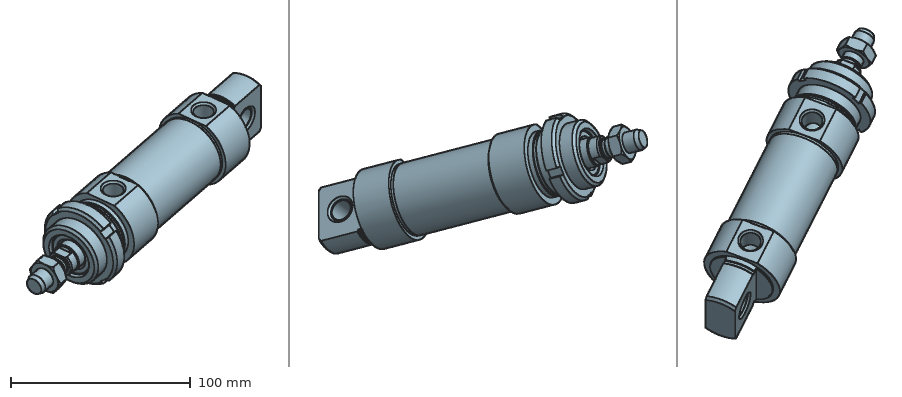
import cadquery as cq
import math

total_length = 202.5

cap_dia = 46.2
cap_length = 22.7
cap_flat_height = 21.0
front_cap_start = 63.0
front_cap_end = front_cap_start + cap_length
rear_cap_end = 172.3
rear_cap_start = rear_cap_end - cap_length
tube_dia = 41.7
tube_neck_dia = 41.5
tube_neck_length = 1.6

spigot_dia = 38.0
spigot_chamfer = 1.6
nose_start = 33.0
groove_dia = 36.0
groove_offset = 3.0
groove_length = 2.5
groove_chamfer = 0.6

recess_dia = 26.0
recess_mouth_dia = 27.5
recess_depth = 2.2
recess_corner_chamfer = 0.5
rod_countersink_dia = 19.6

eye_thickness = 18.0
eye_root_offset = 1.0
eye_hole_dia = 12.0
eye_countersink_dia = 16.0
eye_countersink_floor_dia = 13.4
eye_hole_from_end = 13.8

port_dia = 11.5
port_chamfer_dia = 14.0
port_depth = 14.2
port_from_tube = 10.7
drill_tip_angle = 118.0

rod_dia = 16.8
rod_rear = 101.2
shank_start = 24.0
shank_dia = 15.5
shank_end = 31.2
shank_chamfer = 0.5
shank_chamfer_length = 1.2
shoulder_height = (rod_dia - shank_dia) / 2
thread_dia = 12.0
thread_end = 21.0
undercut_dia = 10.7
undercut_chamfer = (thread_dia - undercut_dia) / 2
tip_dia = 10.0
tip_chamfer_length = 2.6
wrench_flat_width = 13.2
wrench_flat_end = 29.4

hex_nut_sides = 6
hex_nut_width = 18.6
hex_nut_start = 10.0
hex_nut_length = 7.0
hex_nut_chamfer_angle = 30.0

ring_nut_dia = 50.0
ring_nut_start = 42.7
ring_nut_length = 8.3
ring_nut_chamfer = 1.6
slot_count = 4
slot_width = 5.0
slot_floor_radius = 22.9


def turned(profile):
    """Solid of revolution about Y from (radius, y) points; the profile is closed along the axis."""
    points = [(0, profile[0][1]), *profile, (0, profile[-1][1])]
    return cq.Workplane("XY").polyline(points).close().revolve(360, (0, 0, 0), (0, 1, 0))


def disc(diameter, y_start, y_end):
    """Plain cylinder along Y."""
    return turned([(diameter / 2, y_start), (diameter / 2, y_end)])


def box_between(x_size, y_start, y_end, z_size):
    """Box centred on the axis in X and Z."""
    return cq.Workplane("XY").box(x_size, y_end - y_start, z_size).translate((0, (y_start + y_end) / 2, 0))


def make_cap(y_start, y_end):
    """End cap with a flat on top for the air port."""
    flat_limit = box_between(cap_dia, y_start, y_end, cap_dia).translate((0, 0, cap_flat_height - cap_dia / 2))
    return disc(cap_dia, y_start, y_end).intersect(flat_limit)


def make_tube():
    """Tube with a slightly smaller neck next to each cap."""
    neck_radius = tube_neck_dia / 2
    tube_radius = tube_dia / 2
    tube_start = front_cap_end + tube_neck_length
    tube_end = rear_cap_start - tube_neck_length
    return turned([
        (neck_radius, front_cap_end),
        (neck_radius, tube_start),
        (tube_radius, tube_start),
        (tube_radius, tube_end),
        (neck_radius, tube_end),
        (neck_radius, rear_cap_start),
    ])


def make_spigot(cap_face, end_face):
    """Grooved spigot from a cap face to its chamfered end face, in either direction along Y."""
    direction = math.copysign(1, end_face - cap_face)
    radius = spigot_dia / 2
    groove_radius = groove_dia / 2
    groove_start = cap_face + direction * groove_offset
    groove_end = groove_start + direction * groove_length
    return turned([
        (radius, cap_face),
        (radius, groove_start),
        (groove_radius, groove_start),
        (groove_radius, groove_end - direction * groove_chamfer),
        (radius - groove_chamfer, groove_end - direction * groove_chamfer),
        (radius, groove_end),
        (radius, end_face - direction * spigot_chamfer),
        (radius - spigot_chamfer, end_face),
    ])


def make_eye():
    """Rear spigot flattened on both sides, with a countersunk cross hole."""
    eye_root = rear_cap_end + eye_root_offset
    flats = box_between(eye_thickness, eye_root, total_length, spigot_dia)
    flats = flats.union(box_between(spigot_dia, rear_cap_end, eye_root, spigot_dia))
    hole_radius = eye_hole_dia / 2
    mouth_radius = eye_countersink_dia / 2
    floor_radius = eye_countersink_floor_dia / 2
    half = eye_thickness / 2
    floor = half - (mouth_radius - floor_radius)
    hole_y = total_length - eye_hole_from_end
    hole = (
        cq.Workplane("XY")
        .polyline([
            (-half, 0),
            (-half, mouth_radius),
            (-floor, floor_radius),
            (-floor, hole_radius),
            (floor, hole_radius),
            (floor, floor_radius),
            (half, mouth_radius),
            (half, 0),
        ])
        .close()
        .revolve(360, (0, 0, 0), (1, 0, 0))
        .translate((0, hole_y, 0))
    )
    return make_spigot(rear_cap_end, total_length).intersect(flats).cut(hole)


def make_port(y_centre):
    """Drilled port with a chamfered mouth, to be cut down from a cap flat."""
    radius = port_dia / 2
    mouth_radius = port_chamfer_dia / 2
    chamfer = mouth_radius - radius
    floor = cap_flat_height - port_depth
    tip = floor - radius / math.tan(math.radians(drill_tip_angle / 2))
    return (
        cq.Workplane("XZ")
        .polyline([
            (0, cap_flat_height),
            (mouth_radius, cap_flat_height),
            (radius, cap_flat_height - chamfer),
            (radius, floor),
            (0, tip),
        ])
        .close()
        .revolve(360, (0, 0, 0), (0, 1, 0))
        .translate((0, y_centre, 0))
    )


def make_recess():
    """Tapered recess in the nose face, with a countersink around the rod bore in its floor."""
    radius = recess_dia / 2
    floor = nose_start + recess_depth
    rod_radius = rod_dia / 2
    countersink_radius = rod_countersink_dia / 2
    return turned([
        (recess_mouth_dia / 2, nose_start),
        (radius, floor - recess_corner_chamfer),
        (radius - recess_corner_chamfer, floor),
        (countersink_radius, floor),
        (rod_radius, floor + countersink_radius - rod_radius),
    ])


def make_housing():
    body = make_cap(front_cap_start, front_cap_end)
    body = body.union(make_tube())
    body = body.union(make_cap(rear_cap_start, rear_cap_end))
    body = body.union(make_spigot(front_cap_start, nose_start))
    body = body.union(make_eye())
    body = body.cut(make_recess())
    body = body.cut(disc(rod_dia, nose_start, rod_rear))
    for port_y in (front_cap_end - port_from_tube, rear_cap_start + port_from_tube):
        body = body.cut(make_port(port_y))
    return body


def make_wrench_flat():
    """Cutter for the upper wrench flat, ending in a 45 degree ramp."""
    flat_height = wrench_flat_width / 2
    rise = rod_dia / 2 - flat_height
    return (
        cq.Workplane("YZ")
        .polyline([
            (shank_start, flat_height),
            (wrench_flat_end, flat_height),
            (wrench_flat_end + rise, flat_height + rise),
            (shank_start, flat_height + rise),
        ])
        .close()
        .extrude(rod_dia / 2, both=True)
    )


def make_rod():
    thread_radius = thread_dia / 2
    undercut_radius = undercut_dia / 2
    shank_radius = shank_dia / 2
    rod_radius = rod_dia / 2
    rod = turned([
        (tip_dia / 2, 0),
        (thread_radius, tip_chamfer_length),
        (thread_radius, thread_end),
        (undercut_radius, thread_end + undercut_chamfer),
        (undercut_radius, shank_start - undercut_chamfer),
        (thread_radius, shank_start),
        (shank_radius - shank_chamfer, shank_start),
        (shank_radius, shank_start + shank_chamfer_length),
        (shank_radius, shank_end - shoulder_height),
        (rod_radius, shank_end),
        (rod_radius, rod_rear),
    ])
    upper_flat = make_wrench_flat()
    return rod.cut(upper_flat).cut(upper_flat.mirror("XY"))


def make_hex_nut():
    """Hexagonal nut with corners pointing along X, chamfered at both ends."""
    corner_dia = hex_nut_width / math.cos(math.pi / hex_nut_sides)
    hex_nut_end = hex_nut_start + hex_nut_length
    corner_radius = corner_dia / 2
    face_radius = hex_nut_width / 2
    chamfer = (corner_radius - face_radius) * math.tan(math.radians(hex_nut_chamfer_angle))
    blank = turned([
        (face_radius, hex_nut_start),
        (corner_radius, hex_nut_start + chamfer),
        (corner_radius, hex_nut_end - chamfer),
        (face_radius, hex_nut_end),
    ])
    hex_plane = cq.Workplane("XZ", origin=(0, hex_nut_start, 0))
    hexagon = hex_plane.polygon(hex_nut_sides, corner_dia).extrude(-hex_nut_length)
    return hexagon.intersect(blank).cut(disc(thread_dia, hex_nut_start, hex_nut_end))


def make_ring_nut():
    """Round nut, chamfered in front, with wrench slots on the diagonals."""
    radius = ring_nut_dia / 2
    ring_nut_end = ring_nut_start + ring_nut_length
    nut = turned([
        (radius - ring_nut_chamfer, ring_nut_start),
        (radius, ring_nut_start + ring_nut_chamfer),
        (radius, ring_nut_end),
    ])
    nut = nut.cut(disc(spigot_dia, ring_nut_start, ring_nut_end))
    slot = box_between(slot_width, ring_nut_start, ring_nut_end, radius)
    slot = slot.translate((0, 0, slot_floor_radius + radius / 2))
    slot_pitch = 360 / slot_count
    for index in range(slot_count):
        angle = (index + 0.5) * slot_pitch
        nut = nut.cut(slot.rotate((0, 0, 0), (0, 1, 0), angle))
    return nut


housing = make_housing()
rod = make_rod()
hex_nut = make_hex_nut()
ring_nut = make_ring_nut()

result = cq.Compound.makeCompound([housing.val(), rod.val(), hex_nut.val(), ring_nut.val()])